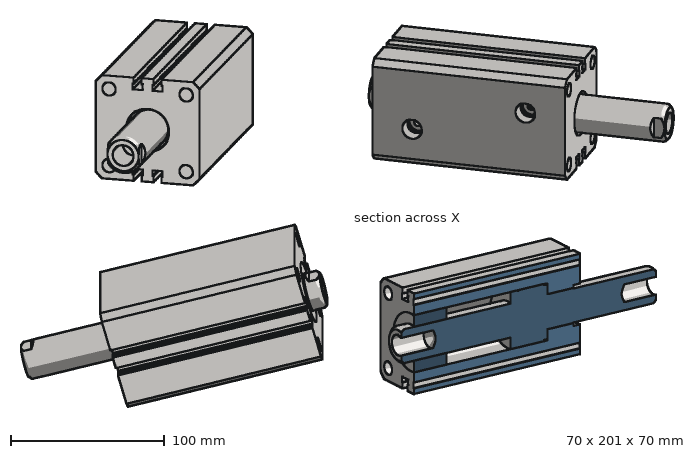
import cadquery as cq
import math


body_side = 70.0
body_length = 131.0
corner_circle_diameter = 93.0
mount_hole_pitch = 52.0
mount_hole_diameter = 9.0

slot_offset = 6.65
slot_neck_width = 5.4
slot_neck_depth = 4.2
slot_foot_width = 6.7
slot_depth = 8.0

bore_diameter = 40.0
end_wall = 26.0
wiper_recess_diameter = 29.0
wiper_recess_depth = 5.0

port_thread_diameter = 13.2
port_thread_depth = 10.0
pipe_thread_taper = 1 / 16
port_thread_half_angle = math.degrees(math.atan(pipe_thread_taper / 2))
port_drill_diameter = 11.4
port_drill_depth = 13.0
port_end_distance = 27.0
port_height = 10.0
passage_diameter = 5.0
passage_depth = 22.0

rod_diameter = 25.0
front_extension = 60.0
rear_extension = 10.0
rod_chamfer = 2.0
rod_chamfer_blend = 1.5
flat_across = 21.0
flat_length = 7.0
tap_hole_diameter = 14.0
tap_hole_depth = 25.0
drill_point_angle = 118.0

stroke = front_extension - rear_extension
piston_length = body_length - 2 * end_wall - stroke
piston_boss_diameter = 39.0
piston_boss_length = 2.4


def cylinder_along_y(diameter, start, end):
    """Cylinder on the Y axis from Y = start to Y = end."""
    return (
        cq.Workplane("XZ", origin=(0, start, 0))
        .circle(diameter / 2)
        .extrude(start - end)
    )


def cylinder_along_x(diameter, depth, y, z, taper=0):
    """Cylinder, or cone narrowing by the taper angle, going inward from the -X side of the housing."""
    return (
        cq.Workplane("YZ", origin=(-body_side / 2, y, z))
        .circle(diameter / 2)
        .extrude(depth, taper=taper)
    )


def make_block():
    """Square block whose four long edges are rounded by one large circle."""
    block = cq.Workplane("XY").box(body_side, body_length, body_side)
    block = block.translate((0, body_length / 2, 0))
    return block.intersect(cylinder_along_y(corner_circle_diameter, 0, body_length))


def make_slots():
    """T-shaped slots that run the whole length of the top and bottom."""
    slots = cq.Workplane("XY")
    for side in (-1, 1):
        for x in (-slot_offset, slot_offset):
            neck_height = side * (body_side / 2 - slot_neck_depth / 2)
            foot_height = side * (body_side / 2 - (slot_neck_depth + slot_depth) / 2)
            neck = cq.Workplane("XY").box(slot_neck_width, body_length, slot_neck_depth)
            foot = cq.Workplane("XY").box(slot_foot_width, body_length, slot_depth - slot_neck_depth)
            slots = slots.add(neck.translate((x, body_length / 2, neck_height)))
            slots = slots.add(foot.translate((x, body_length / 2, foot_height)))
    return slots.combine()


def make_port(y, z):
    """Stepped port: taper thread, tap drill hole and a narrow passage to the bore."""
    thread = cylinder_along_x(port_thread_diameter, port_thread_depth, y, z, port_thread_half_angle)
    tap_drill = cylinder_along_x(port_drill_diameter, port_drill_depth, y, z)
    passage = cylinder_along_x(passage_diameter, passage_depth, y, z)
    return thread.union(tap_drill).union(passage)


def make_housing():
    housing = make_block().cut(make_slots())
    mount_holes = (
        cq.Workplane("XZ")
        .rect(mount_hole_pitch, mount_hole_pitch, forConstruction=True)
        .vertices()
        .circle(mount_hole_diameter / 2)
        .extrude(-body_length)
    )
    housing = housing.cut(mount_holes)
    housing = housing.cut(cylinder_along_y(bore_diameter, end_wall, body_length))
    housing = housing.cut(cylinder_along_y(rod_diameter, 0, end_wall))
    housing = housing.cut(cylinder_along_y(wiper_recess_diameter, 0, wiper_recess_depth))
    housing = housing.cut(make_port(port_end_distance, port_height))
    return housing.cut(make_port(body_length - port_end_distance, -port_height))


def make_rear_cover():
    """Plug that closes the rear of the bore and guides the rear rod."""
    cover = cylinder_along_y(bore_diameter, body_length - end_wall, body_length)
    return cover.cut(cylinder_along_y(rod_diameter, body_length - end_wall, body_length))


def make_end_cuts():
    """Wrench flats and blind tap hole of a rod end at Y = 0 whose rod goes toward +Y."""
    flat_depth = (rod_diameter - flat_across) / 2
    flat_profile = (
        cq.Workplane("XY")
        .moveTo(flat_across / 2, 0)
        .lineTo(flat_across / 2, flat_length)
        .lineTo(rod_diameter / 2, flat_length + flat_depth)
        .lineTo(rod_diameter / 2, 0)
        .close()
        .extrude(rod_diameter / 2, both=True)
    )
    tap_radius = tap_hole_diameter / 2
    point_length = tap_radius / math.tan(math.radians(drill_point_angle / 2))
    tap_hole = (
        cq.Workplane("XY")
        .lineTo(tap_radius, 0)
        .lineTo(tap_radius, tap_hole_depth)
        .lineTo(0, tap_hole_depth + point_length)
        .close()
        .revolve(360, (0, 0, 0), (0, 1, 0))
    )
    return tap_hole.union(flat_profile).union(flat_profile.mirror("YZ"))


def make_piston_rod():
    """Through rod with its piston, as one piece."""
    front_end = -front_extension
    rear_end = body_length + rear_extension
    rod = cylinder_along_y(rod_diameter, front_end, rear_end)
    rod = rod.faces("<Y or >Y").chamfer(rod_chamfer)
    for end, direction in ((front_end, 1), (rear_end, -1)):
        blend_y = end + direction * rod_chamfer
        chamfer_edge = cq.selectors.NearestToPointSelector((0, blend_y, 0))
        rod = rod.edges("%CIRCLE").edges(chamfer_edge).fillet(rod_chamfer_blend)
    end_cuts = make_end_cuts()
    rod = rod.cut(end_cuts.translate((0, front_end, 0)))
    rod = rod.cut(end_cuts.mirror("XZ").translate((0, rear_end, 0)))
    boss_end = end_wall + piston_boss_length
    rod = rod.union(cylinder_along_y(piston_boss_diameter, end_wall, boss_end))
    return rod.union(cylinder_along_y(bore_diameter, boss_end, end_wall + piston_length))


housing = make_housing()
piston_rod = make_piston_rod()
rear_cover = make_rear_cover()

result = cq.Compound.makeCompound([body.solids().val() for body in (housing, piston_rod, rear_cover)])